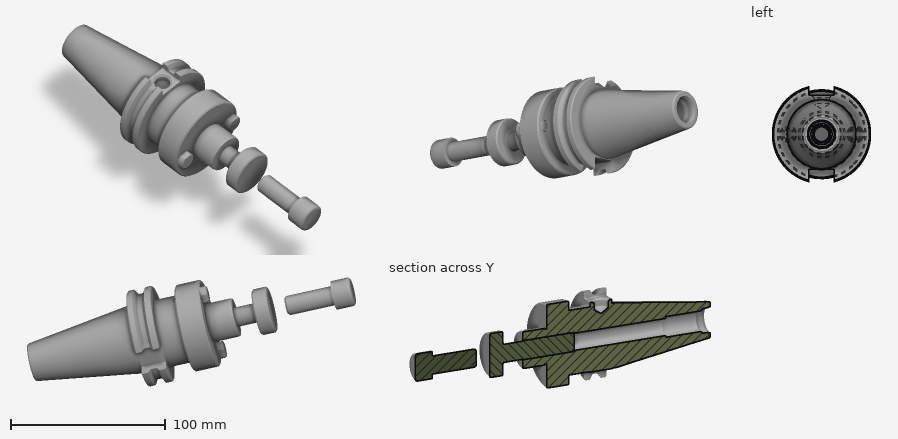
import cadquery as cq
import math


TAPER_END_D = 24.7
TAPER_RATIO = 7 / 24
TAPER_LENGTH = 68.2
TAPER_END_FILLET = 1.5
TAPER_D = TAPER_END_D + TAPER_RATIO * TAPER_LENGTH

FLANGE_START = 71.4
FLANGE_END = 87.5
FLANGE_D = 63.2
FLANGE_CHAMFER = 0.6
GROOVE_FLOOR_D = 56.4
GROOVE_FLOOR_WIDTH = 3.9
GROOVE_HALF_ANGLE = 30
GROOVE_CENTRE = 79.3
SLOT_WIDTH = 16.3
SLOT_FILLET = 0.9
TOP_SLOT_FLOOR = 25.0
BOTTOM_SLOT_FLOOR = 22.5

CHIP_HOLE_D = 10.0
CHIP_DRILL_D = 8.0
CHIP_HOLE_MOUTH_D = 12.6
CHIP_HOLE_DEPTH = 5.1

NECK_D = 44.4
NECK_FILLET = 0.6
DISC_START = 102.7
DISC_END = 119.2
DISC_D = 57.2
DISC_CHAMFER = 0.9
RELIEF_WIDTH = 0.9
RELIEF_DEPTH = 0.6
SPIGOT_END = 136.5
SPIGOT_D = 25.3
SPIGOT_LEAD_LENGTH = 1.3
SPIGOT_LEAD_DEPTH = 0.32

BORE_MOUTH_D = 18.0
BORE_D = 16.5
BORE_MOUTH_DEPTH = 2.0
BORE_DEPTH = 5.4
THREAD_D = 13.7
THREAD_START = 7.0
THREAD_DEPTH = 32.2
PASSAGE_D = 11.4

SHANK_D = 12.6
SHANK_TIP_D = 9.6
CLAMP_TIP = 98.6
CLAMP_HEAD_START = 150.5
CLAMP_HEAD_END = 160.4
CLAMP_HEAD_D = 30.2
CLAMP_HEAD_CHAMFER = 0.9
CLAMP_FILLET = 1.0

SCREW_TIP = 170.0
SCREW_TIP_D = 10.0
SCREW_HEAD_START = 201.7
SCREW_END = 214.4
SCREW_HEAD_D = 18.9
SCREW_HEAD_ROUND = 2.0

KEY_OFFSET = 21.7
KEY_D = 11.0
KEY_WIDTH = 9.5
KEY_HEIGHT = 4.3
KEY_CHAMFER = 0.6
KEY_SHANK_D = 8.0
KEY_SHANK_LENGTH = 16.7
KEY_TIP_CHAMFER = 0.9
KEY_HOLE_DEPTH = 17.2

DRILL_HALF_ANGLE = 59


def turned(points):
    """Solid of revolution about the X axis from (x, radius) points."""
    return cq.Workplane("XY").polyline(points).close().revolve(360, (0, 0), (1, 0))


def x_cylinder(diameter, x_start, x_end, y=0):
    """Cylinder along X, with its axis at the given Y."""
    plane = cq.Workplane("YZ", origin=(x_start, y, 0))
    return plane.circle(diameter / 2).extrude(x_end - x_start)


def root_fillet(diameter, x_face, direction, fillet):
    """Ring with a concave rim that blends a cylinder into a face at x_face.

    The ring spreads along the cylinder toward +X for direction 1 and -X for -1.
    """
    radius = diameter / 2
    x_far = x_face + direction * fillet
    profile = cq.Workplane("XY").moveTo(x_face, 0).lineTo(x_face, radius + fillet)
    profile = profile.radiusArc((x_far, radius), -direction * fillet).lineTo(x_far, 0).close()
    return profile.revolve(360, (0, 0), (1, 0))


def drill_tip_length(diameter):
    return diameter / 2 / math.tan(math.radians(DRILL_HALF_ANGLE))


def make_taper():
    radius = TAPER_D / 2
    taper = turned([
        (0, 0), (0, TAPER_END_D / 2), (TAPER_LENGTH, radius), (FLANGE_START, radius), (FLANGE_START, 0),
    ])
    return taper.faces("<X").edges().fillet(TAPER_END_FILLET)


def make_flange():
    flange = x_cylinder(FLANGE_D, FLANGE_START, FLANGE_END).edges().chamfer(FLANGE_CHAMFER)
    return flange.cut(make_groove()).cut(make_slots()).cut(make_chip_hole())


def make_groove():
    floor_radius = GROOVE_FLOOR_D / 2
    rim_radius = FLANGE_D / 2
    floor_half = GROOVE_FLOOR_WIDTH / 2
    rim_half = floor_half + (rim_radius - floor_radius) * math.tan(math.radians(GROOVE_HALF_ANGLE))
    return turned([
        (GROOVE_CENTRE - rim_half, rim_radius), (GROOVE_CENTRE - floor_half, floor_radius),
        (GROOVE_CENTRE + floor_half, floor_radius), (GROOVE_CENTRE + rim_half, rim_radius),
    ])


def make_slots():
    length = FLANGE_END - FLANGE_START
    plane = cq.Workplane("XY", origin=((FLANGE_START + FLANGE_END) / 2, 0, 0))
    top = plane.workplane(offset=TOP_SLOT_FLOOR).rect(length, SLOT_WIDTH).extrude(FLANGE_D)
    bottom = plane.workplane(offset=-BOTTOM_SLOT_FLOOR).rect(length, SLOT_WIDTH).extrude(-FLANGE_D)
    top = top.faces("<Z").edges("|X").fillet(SLOT_FILLET)
    bottom = bottom.faces(">Z").edges("|X").fillet(SLOT_FILLET)
    return top.union(bottom)


def make_chip_hole():
    radius = CHIP_HOLE_D / 2
    mouth_radius = CHIP_HOLE_MOUTH_D / 2
    drill_radius = CHIP_DRILL_D / 2
    wall_bottom = TOP_SLOT_FLOOR - CHIP_HOLE_DEPTH
    drill_top = wall_bottom - (radius - drill_radius)
    profile = cq.Workplane("XZ", origin=(GROOVE_CENTRE, 0, 0)).polyline([
        (0, TOP_SLOT_FLOOR), (mouth_radius, TOP_SLOT_FLOOR),
        (radius, TOP_SLOT_FLOOR - (mouth_radius - radius)), (radius, wall_bottom),
        (drill_radius, drill_top), (0, drill_top - drill_tip_length(CHIP_DRILL_D)),
    ]).close()
    return profile.revolve(360, (0, 0), (0, 1))


def make_front_end():
    neck = x_cylinder(NECK_D, FLANGE_END, DISC_START)
    neck = neck.union(root_fillet(NECK_D, FLANGE_END, 1, NECK_FILLET))
    neck = neck.union(root_fillet(NECK_D, DISC_START, -1, NECK_FILLET))
    disc = x_cylinder(DISC_D, DISC_START, DISC_END).edges().chamfer(DISC_CHAMFER)
    spigot = turned([
        (DISC_END, 0), (DISC_END, SPIGOT_D / 2 - RELIEF_DEPTH),
        (DISC_END + RELIEF_WIDTH, SPIGOT_D / 2 - RELIEF_DEPTH), (DISC_END + RELIEF_WIDTH, SPIGOT_D / 2),
        (SPIGOT_END - SPIGOT_LEAD_LENGTH, SPIGOT_D / 2),
        (SPIGOT_END, SPIGOT_D / 2 - SPIGOT_LEAD_DEPTH), (SPIGOT_END, 0),
    ])
    return neck.union(disc).union(spigot)


def make_axial_bore():
    return turned([
        (0, 0), (0, BORE_MOUTH_D / 2), (BORE_MOUTH_DEPTH, BORE_D / 2), (BORE_DEPTH, BORE_D / 2),
        (THREAD_START, THREAD_D / 2), (THREAD_DEPTH, THREAD_D / 2), (THREAD_DEPTH, PASSAGE_D / 2),
        (CLAMP_TIP, PASSAGE_D / 2), (CLAMP_TIP, SHANK_D / 2), (SPIGOT_END, SHANK_D / 2),
        (SPIGOT_END, 0),
    ])


def make_key_hole(side):
    radius = KEY_SHANK_D / 2
    bottom = DISC_END - KEY_HOLE_DEPTH
    hole = turned([
        (DISC_END, 0), (DISC_END, radius), (bottom, radius),
        (bottom - drill_tip_length(KEY_SHANK_D), 0),
    ])
    return hole.translate((0, side * KEY_OFFSET, 0))


def make_holder():
    body = make_taper().union(make_flange()).union(make_front_end()).cut(make_axial_bore())
    for side in (-1, 1):
        body = body.cut(make_key_hole(side))
    return body


def make_clamp_bolt():
    tip_chamfer = (SHANK_D - SHANK_TIP_D) / 2
    shank = x_cylinder(SHANK_D, CLAMP_TIP, CLAMP_HEAD_START).faces("<X").edges().chamfer(tip_chamfer)
    head = x_cylinder(CLAMP_HEAD_D, CLAMP_HEAD_START, CLAMP_HEAD_END).edges().chamfer(CLAMP_HEAD_CHAMFER)
    fillet = root_fillet(SHANK_D, CLAMP_HEAD_START, -1, CLAMP_FILLET)
    return shank.union(head).union(fillet)


def make_cap_screw():
    tip_chamfer = (SHANK_D - SCREW_TIP_D) / 2
    shank = x_cylinder(SHANK_D, SCREW_TIP, SCREW_HEAD_START).faces("<X").edges().chamfer(tip_chamfer)
    head = x_cylinder(SCREW_HEAD_D, SCREW_HEAD_START, SCREW_END)
    head = head.faces(">X").edges().fillet(SCREW_HEAD_ROUND)
    return shank.union(head)


def make_drive_key(side):
    """Round key with two parallel flats, held by a shank in the disc."""
    key_end = DISC_END + KEY_HEIGHT
    key = x_cylinder(KEY_D, DISC_END, key_end).faces(">X").edges().chamfer(KEY_CHAMFER)
    flats = cq.Workplane("XY").box(2 * key_end, KEY_D, KEY_WIDTH)
    shank = x_cylinder(KEY_SHANK_D, DISC_END - KEY_SHANK_LENGTH, DISC_END)
    shank = shank.faces("<X").edges().chamfer(KEY_TIP_CHAMFER)
    return key.intersect(flats).union(shank).translate((0, side * KEY_OFFSET, 0))


holder = make_holder()
clamp_bolt = make_clamp_bolt()
cap_screw = make_cap_screw()
drive_keys = [make_drive_key(side) for side in (-1, 1)]

result = cq.Compound.makeCompound([
    holder.val(), clamp_bolt.val(), cap_screw.val(), *[key.val() for key in drive_keys],
])